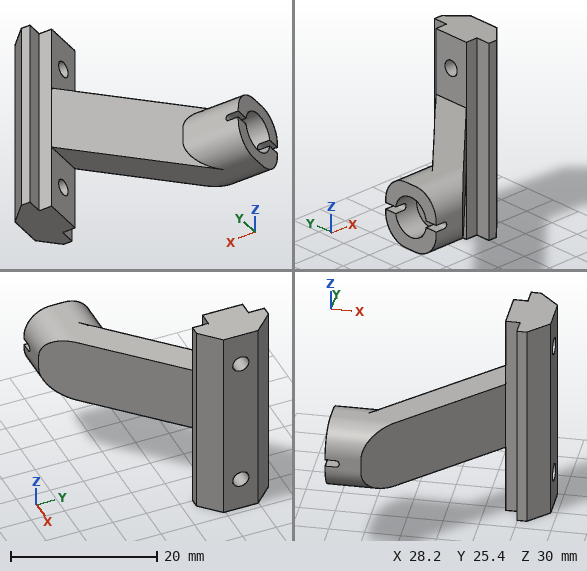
import cadquery as cq

stub_size = 10.0
stub_corner_radius = 4.0
stub_length = 5.0
bore_diameter = 6.1
bore_depth = 4.0
slot_width = 1.0
slot_depth = 2.0

arm_width = 6.0
arm_end_x = 22.0

rail_length = 30.0
rail_neck_end_x = 24.0
rail_chamfer_start_x = 25.4
rail_back_x = 28.2
rail_half_width = 5.38
screw_hole_diameter = 2.4
screw_hole_spacing = 20.0
screw_hole_count = 2

half_stub = stub_size / 2
half_flat = half_stub - stub_corner_radius
lower_offset = -half_stub - stub_length
upper_offset = lower_offset + arm_width
rail_center_y = arm_end_x + (lower_offset + upper_offset) / 2
rail_back_half_width = rail_half_width - (rail_back_x - rail_chamfer_start_x)


def prism_along_z(points, height):
    """Extrude an XY outline symmetrically about Z = 0."""
    return cq.Workplane("XY").polyline(points).close().extrude(height / 2, both=True)


def make_stub():
    """Rounded-square bar whose far end is mitred along the two arm faces."""
    bar_length = half_stub - lower_offset
    bar = (
        cq.Workplane("YZ")
        .rect(stub_size, stub_size)
        .extrude(bar_length)
        .edges("|X")
        .fillet(stub_corner_radius)
    )
    kept = prism_along_z(
        [
            (0, -half_stub),
            (stub_length, -half_stub),
            (half_flat - lower_offset, half_flat),
            (half_flat - upper_offset, half_flat),
            (half_stub - upper_offset, half_stub),
            (0, half_stub),
        ],
        stub_size,
    )
    return bar.intersect(kept)


def make_arm():
    """Full-height slanted bar from the flat band of the stub to the rail."""
    outline = [
        (half_flat - upper_offset, -half_flat),
        (-half_flat - lower_offset, -half_flat),
        (arm_end_x, arm_end_x + lower_offset),
        (arm_end_x, arm_end_x + upper_offset),
        (half_flat - upper_offset, half_flat),
    ]
    return prism_along_z(outline, stub_size)


def make_rail():
    """T-shaped rail with a chamfered back and two screw holes through it."""
    half_profile = [
        (arm_end_x, arm_width / 2),
        (rail_neck_end_x, arm_width / 2),
        (rail_neck_end_x, rail_half_width),
        (rail_chamfer_start_x, rail_half_width),
        (rail_back_x, rail_back_half_width),
    ]
    upper_side = [(x, rail_center_y + offset) for x, offset in half_profile]
    lower_side = [(x, rail_center_y - offset) for x, offset in reversed(half_profile)]
    rail = prism_along_z(upper_side + lower_side, rail_length)
    holes = (
        cq.Workplane("YZ", origin=(0, rail_center_y, 0))
        .rarray(1, screw_hole_spacing, 1, screw_hole_count)
        .circle(screw_hole_diameter / 2)
        .extrude(rail_back_x)
    )
    return rail.cut(holes)


def make_bore():
    """Blind round socket in the free end of the stub."""
    return cq.Workplane("YZ").circle(bore_diameter / 2).extrude(bore_depth)


def make_slot():
    """Round-ended slot across the stub along Y, open at the free end."""
    return (
        cq.Workplane("XZ")
        .slot2D(2 * slot_depth, slot_width)
        .extrude(half_stub, both=True)
    )


body = make_stub().union(make_arm()).union(make_rail())
result = body.cut(make_bore()).cut(make_slot())